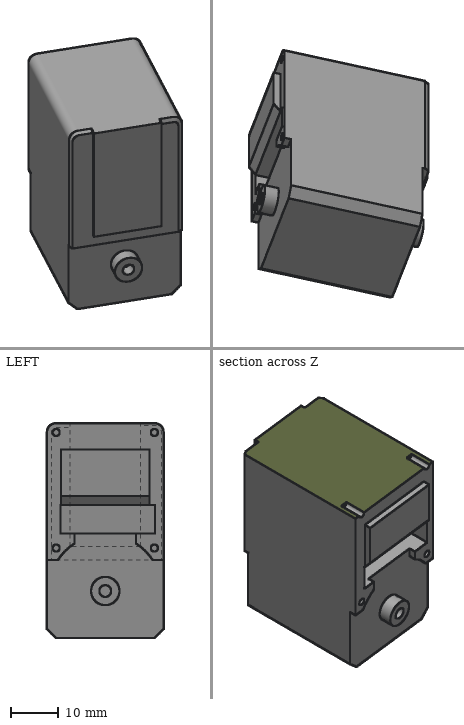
import cadquery as cq


width = 24.8
height = 45.6
shaft_above_bottom = 10.0
lower_length = 29.0
upper_length = 32.0
step_height = 6.6
bottom_chamfer = 2.0
top_radius = 2.0

top_z = height - shaft_above_bottom
bottom_z = -shaft_above_bottom
lower_face = lower_length / 2
upper_face = upper_length / 2

chamfer_long = 1.0
chamfer_short = 0.5

boss_span = 35.0
boss_diameter = 6.0
boss_hole_diameter = 2.5
boss_hole_depth = 3.0

horn_radius = 12.0
horn_slot_width = 13.1

panel_width = 14.9
panel_height = 26.2
panel_rise = 1.0

cover_width = 18.8
cover_top_gap = 5.6
cover_height = 11.8
cover_rise = 1.5
cover_bevel_height = 1.9
cover_top_z = top_z - cover_top_gap
cover_bottom_z = cover_top_z - cover_height

pocket_width = 20.0
pocket_height = 6.0
pocket_depth = 8.0
pocket_offset_y = -0.5
pocket_floor_z = cover_bottom_z - pocket_height

screw_hole_diameter = 1.5
screw_hole_depth = 5.0
screw_edge_distance = 2.0
screw_spacing_z = 24.5


def block(x_min, x_max, y_min, y_max, z_min, z_max):
    size = (x_max - x_min, y_max - y_min, z_max - z_min)
    return cq.Workplane("XY").box(*size, centered=False).translate((x_min, y_min, z_min))


def rod(x_min, x_max, diameter, y=0.0, z=0.0):
    """Cylinder along X."""
    plane = cq.Workplane("YZ", origin=(x_min, y, z))
    return plane.circle(diameter / 2).extrude(x_max - x_min)


def lower_body():
    body = block(-lower_face, lower_face, -width / 2, width / 2, bottom_z, step_height)
    return body.edges("|X and <Z").chamfer(bottom_chamfer)


def upper_half(side, chamfer_length, chamfer_inset):
    """Half of the upper part, on the -Y (side < 0) or +Y side, with the rim of its +X end chamfered."""
    y_min, y_max = sorted((0, side * width / 2))
    outer_side = "<Y" if side < 0 else ">Y"
    half = block(-upper_face, upper_face, y_min, y_max, step_height, top_z)
    half = half.edges("|X and >Z").edges(outer_side).fillet(top_radius)
    return half.faces(">X").edges(">Z").chamfer(chamfer_length, chamfer_inset)


def end_panel():
    y = panel_width / 2
    return block(0, upper_face + panel_rise, -y, y, top_z - panel_height, top_z)


def connector_cover():
    """Cover with a bevelled lower edge."""
    outer_x = -upper_face - cover_rise
    profile = [
        (-upper_face, cover_top_z),
        (outer_x, cover_top_z),
        (outer_x, cover_bottom_z + cover_bevel_height),
        (-upper_face, cover_bottom_z),
    ]
    return cq.Workplane("XZ").polyline(profile).close().extrude(cover_width / 2, both=True)


def cable_pocket():
    y_min = pocket_offset_y - pocket_width / 2
    y_max = pocket_offset_y + pocket_width / 2
    inner_x = -upper_face + pocket_depth
    return block(-upper_face, inner_x, y_min, y_max, pocket_floor_z, cover_bottom_z)


def horn_clearance():
    """Round clearance about the shaft, with a straight-sided slot up to the cable pocket."""
    half_slot = horn_slot_width / 2
    disc = rod(-upper_face, -lower_face, 2 * horn_radius)
    slot = block(-upper_face, -lower_face, -half_slot, half_slot, 0, pocket_floor_z)
    return disc.union(slot)


def screw_holes():
    holes = cq.Workplane("XY")
    upper_z = top_z - screw_edge_distance
    for side in (-1, 1):
        for z in (upper_z, upper_z - screw_spacing_z):
            y = side * (width / 2 - screw_edge_distance)
            holes = holes.add(rod(-upper_face, -upper_face + screw_hole_depth, screw_hole_diameter, y, z))
    return holes.combine()


def shaft_bosses():
    return rod(-boss_span / 2, boss_span / 2, boss_diameter)


def boss_holes():
    tip = boss_span / 2
    near = rod(-tip, -tip + boss_hole_depth, boss_hole_diameter)
    far = rod(tip - boss_hole_depth, tip, boss_hole_diameter)
    return near.union(far)


result = (
    lower_body()
    .union(upper_half(-1, chamfer_long, chamfer_short))
    .union(upper_half(1, chamfer_short, chamfer_long))
    .union(end_panel())
    .cut(horn_clearance())
    .union(connector_cover())
    .cut(cable_pocket())
    .cut(screw_holes())
    .union(shaft_bosses())
    .cut(boss_holes())
    .clean()
)